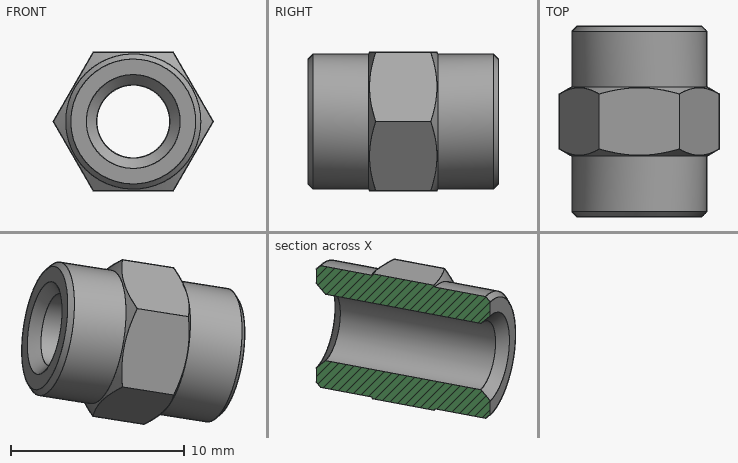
import cadquery as cq
import math

length = 11.0
across_flats = 8.0
hex_width = 4.0
body_diameter = 7.8
end_chamfer = 0.3
bore_diameter = 4.2
countersink_diameter = 5.41
countersink_angle = 90.0
hex_chamfer_angle = 30.0

across_corners = across_flats / math.cos(math.radians(30))
body_radius = body_diameter / 2
corner_radius = across_corners / 2
bore_radius = bore_diameter / 2
countersink_radius = countersink_diameter / 2
countersink_depth = (countersink_radius - bore_radius) / math.tan(math.radians(countersink_angle / 2))
hex_chamfer_drop = (corner_radius - body_radius) * math.tan(math.radians(hex_chamfer_angle))
half_length = length / 2
half_hex = hex_width / 2


def revolve_about_y(points):
    """Solid of revolution from (radius, y) points."""
    return cq.Workplane("XY").polyline(points).close().revolve(360, (0, 0, 0), (0, 1, 0))


def make_body():
    """Round body with chamfered ends."""
    body = cq.Workplane("XZ").circle(body_radius).extrude(half_length, both=True)
    return body.faces("<Y or >Y").chamfer(end_chamfer)


def make_hex():
    """Central hexagon, flats facing up and down, with its corners turned off conically."""
    prism = cq.Workplane("XZ").polygon(6, across_corners).extrude(half_hex, both=True)
    envelope = revolve_about_y([
        (0, -half_hex),
        (body_radius, -half_hex),
        (corner_radius, -half_hex + hex_chamfer_drop),
        (corner_radius, half_hex - hex_chamfer_drop),
        (body_radius, half_hex),
        (0, half_hex),
    ])
    return prism.intersect(envelope)


def make_bore():
    """Through bore, countersunk at both ends."""
    return revolve_about_y([
        (0, -half_length),
        (countersink_radius, -half_length),
        (bore_radius, -half_length + countersink_depth),
        (bore_radius, half_length - countersink_depth),
        (countersink_radius, half_length),
        (0, half_length),
    ])


result = make_body().union(make_hex()).cut(make_bore())